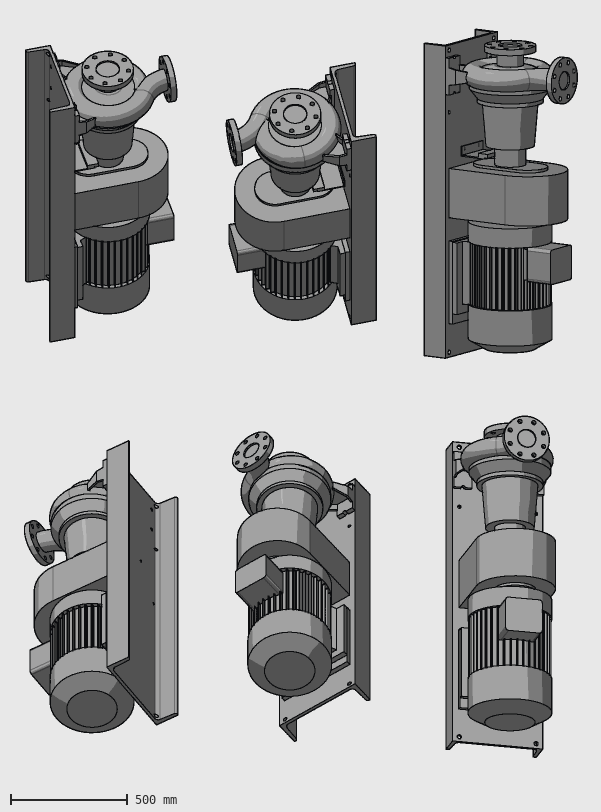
import cadquery as cq
import math


CHANNEL_LENGTH = 1360
CHANNEL_WIDTH = 400
FLANGE_DEPTH = 110
WEB_THICKNESS = 14
FLANGE_THICKNESS = 18
FLANGE_SLOPE = 0.05
ROOT_RADIUS = 18
TOE_RADIUS = 9

ANCHOR_X = 170
ANCHOR_END_DISTANCE = 22
ANCHOR_DIAMETER = 18
LIFTING_HOLE_Z = 1067
LIFTING_HOLE_DIAMETER = 14
PUMP_BOLT_X = 140
PUMP_BOLT_PITCH = 125
PUMP_BOLT_DIAMETER = 14
BRACKET_BOLT_X = 54
BRACKET_BOLT_Z = 890
GUARD_BOLT_X = 156
SMALL_BOLT_DIAMETER = 9

AXIS_Y = 200
SEAT_HEIGHT = 20

VOLUTE_Z = 1229
TUBE_RADIUS = 47
SPIRAL_RADIUS = 152
SPIRAL_X = 12
TAIL_RADIUS = SPIRAL_RADIUS - SPIRAL_X
TAIL_END_TUBE_RADIUS = 38
COVER_RADIUS = 115
COVER_EDGE_Z = 1258
COVER_TOP_RADIUS = 60
COVER_TOP_Z = 1269

INLET_FACE_Z = 1355
INLET_DIAMETER = 220
INLET_BOLT_CIRCLE = 180
INLET_BORE = 100
NOZZLE_RADIUS = 57
OUTLET_FACE_Y = 480
OUTLET_DIAMETER = 200
OUTLET_BOLT_CIRCLE = 160
OUTLET_BORE = 80
NOZZLE_FLANGE_THICKNESS = 26
NOZZLE_BOLT_COUNT = 8
NOZZLE_BOLT_DIAMETER = 18
BORE_DEPTH = 8

CASING_RADIUS = 176
CASING_TOP_Z = 1198
CASING_BOTTOM_Z = 1168
COLLAR_RADIUS = 142
COLLAR_TOP_Z = 1125
COLLAR_BOTTOM_Z = 1108
BEARING_TOP_RADIUS = 120
BEARING_BOTTOM_RADIUS = 104
BEARING_BOTTOM_Z = 917
NECK_RADIUS = 67

FOOT_HALF_SPAN = CHANNEL_WIDTH / 2
FOOT_PAD_INNER_X = 119
FOOT_PAD_LENGTH = 160
FOOT_NOTCH_X = 158
FOOT_NOTCH_RADIUS = 8
FOOT_WALL = 8
FOOT_BEND_Y = 52
FOOT_TOP_X = 169
FOOT_TOP_Y = 118
FOOT_HALF_HEIGHT_LOW = 38
FOOT_HALF_HEIGHT_HIGH = 19.5
FOOT_INNER_TOP_X = 70
FOOT_INNER_TOP_Y = 43

GUARD_RADIUS = 172
GUARD_ARC_Y = 290
GUARD_BOTTOM_Z = 608
GUARD_TOP_Z = 823
GUARD_PLATE_THICKNESS = 12
GUARD_PLATE_RADIUS = 87
GUARD_PLATE_LENGTH = 348
GUARD_PLATE_Y = 202

MOTOR_RADIUS = 180
MOTOR_TOP_Z = 588
FIN_TOP_Z = 503
FIN_BOTTOM_Z = 230
TAIL_CONE_TOP_Z = 77
TAIL_CONE_BOTTOM_Z = 34
TAIL_CONE_RADIUS = 108
SHAFT_RADIUS = 26
FINS_PER_SIDE = 10
FIN_THICKNESS = 3
FIN_RADIUS = 177
FIN_ROOT_RADIUS = 163
MOTOR_FOOT_HALF_SPAN = 173
MOTOR_FOOT_TOP_Y = 43
MOTOR_FOOT_BOTTOM_Z = 191
MOTOR_LEG_BOTTOM_X = 134
MOTOR_LEG_TOP_X = 120
MOTOR_LEG_TOP_Y = 73
TERMINAL_BOX_LEFT = -71
TERMINAL_BOX_RIGHT = 92
TERMINAL_BOX_TOP_Y = 470
TERMINAL_BOX_BOTTOM_Z = 352
TERMINAL_BOX_RADIUS = 14

MOTOR_PLATE_BOTTOM_Z = 147
MOTOR_PLATE_TOP_Z = 507

BRACKET_HALF_WIDTH = 80
BRACKET_SHEET = 5
BRACKET_TOP_Z = 905
BRACKET_SHELF_Z = 862
BRACKET_REACH = 121
SADDLE_BACK_Y = 89
SADDLE_FRONT_Y = 138
SADDLE_TOP_Z = 884

NECK_BOTTOM_Z = GUARD_TOP_Z + GUARD_PLATE_THICKNESS


def box(x_range, y_range, z_range):
    """Block between the given limits."""
    size = [high - low for low, high in (x_range, y_range, z_range)]
    corner = (x_range[0], y_range[0], z_range[0])
    return cq.Workplane("XY").box(*size, centered=False).translate(corner)


def prism(points, z_bottom, z_top):
    """Polygon in X and Y, extruded along Z."""
    return cq.Workplane("XY").workplane(offset=z_bottom).polyline(points).close().extrude(z_top - z_bottom)


def turned(points):
    """Profile of (radius, Z) points turned about the machine axis."""
    return (
        cq.Workplane("XZ")
        .polyline(points)
        .close()
        .revolve(360, (0, 0, 0), (0, 1, 0))
        .translate((0, AXIS_Y, 0))
    )


def mirrored_pair(body):
    """The body together with its mirror image across X = 0."""
    return body.union(body.mirror("YZ"))


def web_holes(x, z, diameter):
    """Pair of drills at +x and -x through the channel web."""
    return (
        cq.Workplane("XZ")
        .pushPoints([(x, z), (-x, z)])
        .circle(diameter / 2)
        .extrude(WEB_THICKNESS + ROOT_RADIUS)
    )


def make_channel():
    half_width = CHANNEL_WIDTH / 2
    slope_drop = FLANGE_SLOPE * FLANGE_DEPTH / 2
    toe_x = half_width - FLANGE_THICKNESS + slope_drop
    root_x = half_width - FLANGE_THICKNESS - slope_drop + FLANGE_SLOPE * WEB_THICKNESS
    channel = prism(
        [
            (-half_width, 0),
            (half_width, 0),
            (half_width, -FLANGE_DEPTH),
            (toe_x, -FLANGE_DEPTH),
            (root_x, -WEB_THICKNESS),
            (-root_x, -WEB_THICKNESS),
            (-toe_x, -FLANGE_DEPTH),
            (-half_width, -FLANGE_DEPTH),
        ],
        0,
        CHANNEL_LENGTH,
    )
    for side in (-1, 1):
        root_edge = cq.selectors.NearestToPointSelector((side * root_x, -WEB_THICKNESS, CHANNEL_LENGTH / 2))
        toe_edge = cq.selectors.NearestToPointSelector((side * toe_x, -FLANGE_DEPTH, CHANNEL_LENGTH / 2))
        channel = channel.edges("|Z").edges(root_edge).fillet(ROOT_RADIUS)
        channel = channel.edges("|Z").edges(toe_edge).fillet(TOE_RADIUS)

    guard_z = (GUARD_BOTTOM_Z + GUARD_TOP_Z) / 2
    holes = [
        (ANCHOR_X, ANCHOR_END_DISTANCE, ANCHOR_DIAMETER),
        (ANCHOR_X, CHANNEL_LENGTH - ANCHOR_END_DISTANCE, ANCHOR_DIAMETER),
        (ANCHOR_X, LIFTING_HOLE_Z, LIFTING_HOLE_DIAMETER),
        (PUMP_BOLT_X, VOLUTE_Z - PUMP_BOLT_PITCH / 2, PUMP_BOLT_DIAMETER),
        (PUMP_BOLT_X, VOLUTE_Z + PUMP_BOLT_PITCH / 2, PUMP_BOLT_DIAMETER),
        (BRACKET_BOLT_X, BRACKET_BOLT_Z, SMALL_BOLT_DIAMETER),
        (GUARD_BOLT_X, guard_z, SMALL_BOLT_DIAMETER),
    ]
    for x, z, diameter in holes:
        channel = channel.cut(web_holes(x, z, diameter))
    return channel


def pipe_flange(diameter, bolt_circle):
    """Drilled flange with its sealing face on Z = 0 and its body below."""
    return (
        cq.Workplane("XY")
        .circle(diameter / 2)
        .extrude(-NOZZLE_FLANGE_THICKNESS)
        .cut(
            cq.Workplane("XY")
            .polarArray(bolt_circle / 2, 180 / NOZZLE_BOLT_COUNT, 360, NOZZLE_BOLT_COUNT)
            .circle(NOZZLE_BOLT_DIAMETER / 2)
            .extrude(-NOZZLE_FLANGE_THICKNESS)
        )
    )


def bore(diameter):
    """Blind recess in the sealing face on Z = 0."""
    return cq.Workplane("XY").circle(diameter / 2).extrude(-BORE_DEPTH)


def at_inlet(body):
    return body.translate((0, AXIS_Y, INLET_FACE_Z))


def at_outlet(body):
    return body.rotate((0, 0, 0), (1, 0, 0), -90).translate((0, OUTLET_FACE_Y, VOLUTE_Z))


def section_plane(point, angle):
    """Plane across the tube at a point (X, Y), where the tube runs at this angle from the X axis."""
    heading = (math.cos(angle), math.sin(angle), 0)
    return cq.Plane(origin=(*point, VOLUTE_Z), xDir=(0, 0, 1), normal=heading)


def make_volute():
    rise = OUTLET_FACE_Y - AXIS_Y
    bend_radius = (rise**2 + SPIRAL_X**2 - SPIRAL_RADIUS**2) / (2 * (SPIRAL_RADIUS + SPIRAL_X))
    join_angle = math.atan2(rise, bend_radius - SPIRAL_X)

    def ring_point(center_x, radius, angle):
        return (center_x + radius * math.cos(angle), AXIS_Y + radius * math.sin(angle))

    bend_middle = (
        bend_radius - bend_radius * math.cos(join_angle / 2),
        OUTLET_FACE_Y - bend_radius * math.sin(join_angle / 2),
    )
    start = (-TAIL_RADIUS, AXIS_Y)
    spiral_path = (
        cq.Workplane("XY", origin=(0, 0, VOLUTE_Z))
        .moveTo(*start)
        .threePointArc(
            ring_point(SPIRAL_X, SPIRAL_RADIUS, -math.pi / 2),
            ring_point(SPIRAL_X, SPIRAL_RADIUS, join_angle),
        )
        .threePointArc(bend_middle, (0, OUTLET_FACE_Y))
    )
    tail_end = ring_point(0, TAIL_RADIUS, join_angle)
    tail_path = (
        cq.Workplane("XY", origin=(0, 0, VOLUTE_Z))
        .moveTo(*start)
        .threePointArc(
            ring_point(0, TAIL_RADIUS, (math.pi + join_angle) / 2),
            tail_end,
        )
    )
    start_plane = section_plane(start, math.pi / 2)
    end_plane = section_plane(tail_end, join_angle - math.pi / 2)
    spiral = cq.Workplane(start_plane).circle(TUBE_RADIUS).sweep(spiral_path)
    tail = (
        cq.Workplane(start_plane)
        .circle(TUBE_RADIUS)
        .copyWorkplane(cq.Workplane(end_plane))
        .circle(TAIL_END_TUBE_RADIUS)
        .sweep(tail_path, multisection=True)
    )
    return spiral.union(tail)


def make_cover():
    """Shallow cone closing the middle of the volute on the inlet side."""
    return (
        cq.Workplane("XZ")
        .polyline(
            [
                (0, CASING_BOTTOM_Z),
                (COVER_RADIUS, CASING_BOTTOM_Z),
                (COVER_RADIUS, COVER_EDGE_Z),
                (COVER_TOP_RADIUS, COVER_TOP_Z),
                (0, COVER_TOP_Z),
            ]
        )
        .close()
        .revolve(360, (0, 0, 0), (0, 1, 0))
        .translate((SPIRAL_X, AXIS_Y, 0))
    )


def make_pump_foot():
    """Foot on the -X side: pad, outer and inner walls, and the web between them."""
    pad = box(
        (-FOOT_HALF_SPAN, -FOOT_PAD_INNER_X),
        (0, SEAT_HEIGHT),
        (VOLUTE_Z - FOOT_PAD_LENGTH / 2, VOLUTE_Z + FOOT_PAD_LENGTH / 2),
    )
    notches = (
        cq.Workplane("XZ")
        .pushPoints(
            [
                (-FOOT_NOTCH_X, VOLUTE_Z - FOOT_PAD_LENGTH / 2),
                (-FOOT_NOTCH_X, VOLUTE_Z + FOOT_PAD_LENGTH / 2),
            ]
        )
        .circle(FOOT_NOTCH_RADIUS)
        .extrude(-SEAT_HEIGHT)
    )
    outer_line = [
        (-FOOT_HALF_SPAN, 0),
        (-FOOT_HALF_SPAN, FOOT_BEND_Y),
        (-FOOT_TOP_X, FOOT_TOP_Y),
    ]
    inner_line = [
        (-FOOT_INNER_TOP_X, FOOT_INNER_TOP_Y),
        (-FOOT_PAD_INNER_X, SEAT_HEIGHT - FOOT_WALL),
        (-FOOT_PAD_INNER_X, 0),
    ]
    outline = outer_line + [(-COVER_RADIUS, FOOT_TOP_Y)] + inner_line
    low, high = FOOT_HALF_HEIGHT_LOW, FOOT_HALF_HEIGHT_HIGH
    solid_leg = prism(outline, VOLUTE_Z - low, VOLUTE_Z + low)
    hollow = (
        cq.Workplane("XY", origin=(0, 0, VOLUTE_Z - low))
        .polyline(outline)
        .close()
        .offset2D(-FOOT_WALL)
        .extrude(2 * low)
    )
    web = prism(outline, VOLUTE_Z - FOOT_WALL / 2, VOLUTE_Z + FOOT_WALL / 2)
    taper = (
        cq.Workplane("YZ")
        .polyline(
            [
                (0, VOLUTE_Z - low),
                (SEAT_HEIGHT, VOLUTE_Z - low),
                (FOOT_TOP_Y, VOLUTE_Z - high),
                (FOOT_TOP_Y, VOLUTE_Z + high),
                (SEAT_HEIGHT, VOLUTE_Z + low),
                (0, VOLUTE_Z + low),
            ]
        )
        .close()
        .extrude(-FOOT_HALF_SPAN)
    )
    leg = solid_leg.cut(hollow).union(web).intersect(taper)
    return pad.cut(notches).union(leg)


def make_pump():
    body = turned(
        [
            (0, CASING_TOP_Z),
            (CASING_RADIUS, CASING_TOP_Z),
            (CASING_RADIUS, CASING_BOTTOM_Z),
            (COLLAR_RADIUS, COLLAR_TOP_Z),
            (COLLAR_RADIUS, COLLAR_BOTTOM_Z),
            (BEARING_TOP_RADIUS, COLLAR_BOTTOM_Z),
            (BEARING_BOTTOM_RADIUS, BEARING_BOTTOM_Z),
            (NECK_RADIUS, BEARING_BOTTOM_Z),
            (NECK_RADIUS, NECK_BOTTOM_Z),
            (0, NECK_BOTTOM_Z),
        ]
    )
    nozzle = (
        cq.Workplane("XY")
        .circle(NOZZLE_RADIUS)
        .extrude(CASING_TOP_Z - INLET_FACE_Z)
    )
    return (
        body.union(make_cover())
        .union(make_volute())
        .union(at_inlet(nozzle))
        .union(at_inlet(pipe_flange(INLET_DIAMETER, INLET_BOLT_CIRCLE)))
        .union(at_outlet(pipe_flange(OUTLET_DIAMETER, OUTLET_BOLT_CIRCLE)))
        .union(mirrored_pair(make_pump_foot()))
        .cut(at_inlet(bore(INLET_BORE)))
        .cut(at_outlet(bore(OUTLET_BORE)))
    )


def make_belt_guard():
    guard = (
        cq.Workplane("XY", origin=(0, 0, GUARD_BOTTOM_Z))
        .moveTo(-GUARD_RADIUS, 0)
        .lineTo(GUARD_RADIUS, 0)
        .lineTo(GUARD_RADIUS, GUARD_ARC_Y)
        .threePointArc((0, GUARD_ARC_Y + GUARD_RADIUS), (-GUARD_RADIUS, GUARD_ARC_Y))
        .close()
        .extrude(GUARD_TOP_Z - GUARD_BOTTOM_Z)
    )
    end_plates = (
        cq.Workplane("XY", origin=(0, GUARD_PLATE_Y, GUARD_BOTTOM_Z - GUARD_PLATE_THICKNESS))
        .slot2D(GUARD_PLATE_LENGTH, 2 * GUARD_PLATE_RADIUS, 90)
        .extrude(GUARD_TOP_Z - GUARD_BOTTOM_Z + 2 * GUARD_PLATE_THICKNESS)
    )
    return guard.union(end_plates)


def make_fins():
    """Thin ribs that stand level on the two sides of the motor and upright above and below it.

    Every rib is a full-width bar; the motor body covers its middle part.
    """
    fin_pitch = math.pi / 2 / FINS_PER_SIDE
    height = FIN_TOP_Z - FIN_BOTTOM_Z
    bars = cq.Workplane("XY")
    for index in range(FINS_PER_SIDE):
        angle = (index - (FINS_PER_SIDE - 1) / 2) * fin_pitch
        offset = FIN_RADIUS * math.sin(angle)
        level_bar = cq.Workplane("XY").box(2 * FIN_RADIUS, FIN_THICKNESS, height).translate((0, offset, 0))
        upright_bar = level_bar.rotate((0, 0, 0), (0, 0, 1), 90)
        bars = bars.union(level_bar).union(upright_bar)
    envelope = cq.Workplane("XY").circle(FIN_RADIUS).extrude(height / 2, both=True)
    return bars.intersect(envelope).translate((0, AXIS_Y, (FIN_TOP_Z + FIN_BOTTOM_Z) / 2))


def make_motor():
    shaft_top_z = GUARD_BOTTOM_Z - GUARD_PLATE_THICKNESS
    motor = turned(
        [
            (0, shaft_top_z),
            (SHAFT_RADIUS, shaft_top_z),
            (SHAFT_RADIUS, MOTOR_TOP_Z),
            (MOTOR_RADIUS, MOTOR_TOP_Z),
            (MOTOR_RADIUS, FIN_TOP_Z),
            (FIN_ROOT_RADIUS, FIN_TOP_Z),
            (FIN_ROOT_RADIUS, FIN_BOTTOM_Z),
            (MOTOR_RADIUS, FIN_BOTTOM_Z),
            (MOTOR_RADIUS, TAIL_CONE_TOP_Z),
            (TAIL_CONE_RADIUS, TAIL_CONE_BOTTOM_Z),
            (0, TAIL_CONE_BOTTOM_Z),
        ]
    )
    motor = motor.union(make_fins())
    foot = box(
        (-MOTOR_FOOT_HALF_SPAN, MOTOR_FOOT_HALF_SPAN),
        (SEAT_HEIGHT, MOTOR_FOOT_TOP_Y),
        (MOTOR_FOOT_BOTTOM_Z, FIN_TOP_Z),
    )
    legs = prism(
        [
            (-MOTOR_LEG_BOTTOM_X, MOTOR_FOOT_TOP_Y),
            (MOTOR_LEG_BOTTOM_X, MOTOR_FOOT_TOP_Y),
            (MOTOR_LEG_TOP_X, MOTOR_LEG_TOP_Y),
            (-MOTOR_LEG_TOP_X, MOTOR_LEG_TOP_Y),
        ],
        FIN_BOTTOM_Z,
        FIN_TOP_Z,
    )
    terminal_box = (
        box(
            (TERMINAL_BOX_LEFT, TERMINAL_BOX_RIGHT),
            (AXIS_Y, TERMINAL_BOX_TOP_Y),
            (TERMINAL_BOX_BOTTOM_Z, FIN_TOP_Z),
        )
        .edges("|Y")
        .fillet(TERMINAL_BOX_RADIUS)
    )
    return motor.union(foot).union(legs).union(terminal_box)


def make_motor_plate():
    return box(
        (-MOTOR_FOOT_HALF_SPAN, MOTOR_FOOT_HALF_SPAN),
        (0, SEAT_HEIGHT),
        (MOTOR_PLATE_BOTTOM_Z, MOTOR_PLATE_TOP_Z),
    )


def make_bracket(pump):
    """Sheet angle with a saddle block that fits against the bearing neck."""
    across = (-BRACKET_HALF_WIDTH, BRACKET_HALF_WIDTH)
    shelf_top = BRACKET_SHELF_Z + BRACKET_SHEET
    upright = box(across, (0, BRACKET_SHEET), (BRACKET_SHELF_Z, BRACKET_TOP_Z))
    shelf = box(across, (0, BRACKET_REACH), (BRACKET_SHELF_Z, shelf_top))
    saddle = box(across, (SADDLE_BACK_Y, SADDLE_FRONT_Y), (shelf_top, SADDLE_TOP_Z))
    return upright.union(shelf).union(saddle).cut(pump)


channel = make_channel()
pump = make_pump()
belt_guard = make_belt_guard()
motor = make_motor()
motor_plate = make_motor_plate()
bracket = make_bracket(pump)

result = cq.Compound.makeCompound(
    [
        channel.val(),
        pump.val(),
        belt_guard.val(),
        motor.val(),
        motor_plate.val(),
        bracket.val(),
    ]
)